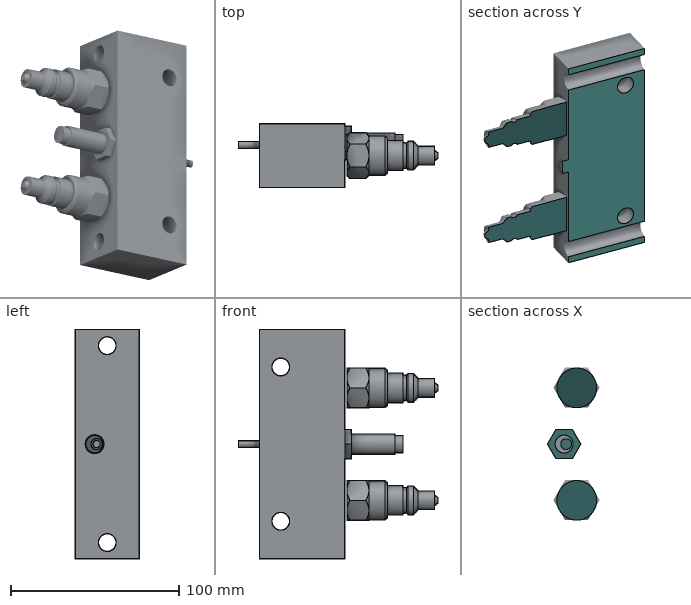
import cadquery as cq
import math

block_length = 50.8
block_width = 38.1
block_height = 136.6

mount_diameter = 10.4
cross_hole_x = 12.7
cross_hole_z = 45.9
long_hole_z = 58.6

fitting_y = 7.5
flange_across_flats = 17.5
flange_thickness = 4.0
barrel_diameter = 12.2
barrel_end = 29.8
tip_diameter = 10.4
tip_end = 34.7

bore_diameter = 11.2
inner_bore_diameter = 10.4
rod_y = fitting_y - 1.2
rod_diameter = 4.2
rod_projection = 12.6
collar_diameter = 6.7
collar_length = flange_thickness

coupling_z = 33.5
hex_start = 1.2
hex_end = 14.3
body_end = 25.3
shank_end = 34.6
groove_floor_start = 36.0
groove_floor_end = 36.8
bead_start = 37.7
bead_end = 40.9
stem_start = 43.7
stem_end = 53.4
nose_end = 55.6

coupling_across_flats = 23.8
hex_chamfer = 1.9
body_radius = 11.8
body_chamfer = 1.2
shank_radius = 8.9
groove_edge_radius = 7.9
groove_floor_radius = 7.7
groove_exit_radius = 8.3
bead_radius = 8.6
stem_radius = 5.6
nose_base_radius = 3.1
nose_tip_radius = 1.6


def corner_diameter(across_flats):
    """Diameter over the corners of a hexagon."""
    return across_flats / math.cos(math.pi / 6)


def rod_along_x(diameter, start, end, y, z):
    """Round bar parallel to X."""
    plane = cq.Plane(origin=(start, y, z), xDir=(0, 1, 0), normal=(1, 0, 0))
    return cq.Workplane(plane).circle(diameter / 2).extrude(end - start)


def hex_along_x(across_flats, start, end, y, z, corner_dir):
    """Hexagonal prism parallel to X with a corner pointing along corner_dir."""
    plane = cq.Plane(origin=(start, y, z), xDir=corner_dir, normal=(1, 0, 0))
    return cq.Workplane(plane).polygon(6, corner_diameter(across_flats)).extrude(end - start)


def turned_along_x(profile, z):
    """Solid of revolution about the X axis at height z; the profile lists (station, radius) points."""
    plane = cq.Plane(origin=(block_length, 0, z), xDir=(1, 0, 0), normal=(0, -1, 0))
    return cq.Workplane(plane).polyline(profile).close().revolve(360, (0, 0), (1, 0))


def make_block():
    """Block with its mounting holes, bore, fixed fitting and rod."""
    block = cq.Workplane("XY").box(block_length, block_width, block_height, centered=(False, True, True))

    for side in (-1, 1):
        cross_hole = (
            cq.Workplane("XZ", origin=(cross_hole_x, 0, side * cross_hole_z))
            .circle(mount_diameter / 2)
            .extrude(block_width, both=True)
        )
        long_hole = rod_along_x(mount_diameter, 0, block_length, 0, side * long_hole_z)
        block = block.cut(cross_hole).cut(long_hole)

    flange_face = block_length + flange_thickness
    flange = hex_along_x(flange_across_flats, block_length, flange_face, fitting_y, 0, (0, 1, 0))
    barrel = rod_along_x(barrel_diameter, flange_face, block_length + barrel_end, fitting_y, 0)
    tip = rod_along_x(tip_diameter, block_length + barrel_end, block_length + tip_end, fitting_y, 0)
    block = block.union(flange).union(barrel).union(tip)

    bore = rod_along_x(bore_diameter, 0, block_length, fitting_y, 0)
    inner_bore = rod_along_x(inner_bore_diameter, block_length, flange_face, fitting_y, 0)
    block = block.cut(bore).cut(inner_bore)

    rod = rod_along_x(rod_diameter, -rod_projection, flange_face, rod_y, 0)
    collar = rod_along_x(collar_diameter, flange_face - collar_length, flange_face, rod_y, 0)
    return block.union(rod).union(collar)


def make_coupling(z):
    """Quick coupling: double-chamfered hex nut followed by a turned nipple."""
    hex_nut = hex_along_x(
        coupling_across_flats, block_length + hex_start, block_length + hex_end, 0, z, (0, 1, 0)
    )
    flat_radius = coupling_across_flats / 2
    crown_radius = flat_radius + hex_chamfer
    hex_envelope = turned_along_x(
        [
            (hex_start, 0),
            (hex_start, flat_radius),
            (hex_start + hex_chamfer, crown_radius),
            (hex_end - hex_chamfer, crown_radius),
            (hex_end, flat_radius),
            (hex_end, 0),
        ],
        z,
    )
    nipple = turned_along_x(
        [
            (hex_end, 0),
            (hex_end, body_radius),
            (body_end - body_chamfer, body_radius),
            (body_end, body_radius - body_chamfer),
            (body_end, shank_radius),
            (shank_end, shank_radius),
            (shank_end, groove_edge_radius),
            (groove_floor_start, groove_floor_radius),
            (groove_floor_end, groove_floor_radius),
            (bead_start, groove_exit_radius),
            (bead_start, bead_radius),
            (bead_end, bead_radius),
            (stem_start, stem_radius),
            (stem_end, stem_radius),
            (stem_end, nose_base_radius),
            (nose_end, nose_tip_radius),
            (nose_end, 0),
        ],
        z,
    )
    return hex_nut.intersect(hex_envelope).union(nipple)


block = make_block()
couplings = [make_coupling(side * coupling_z) for side in (-1, 1)]

result = cq.Compound.makeCompound([block.val(), *[coupling.val() for coupling in couplings]])